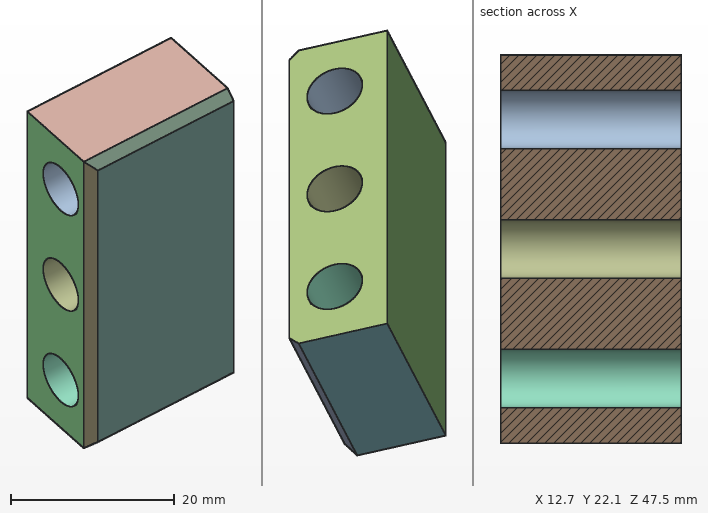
import cadquery as cq

width = 12.7
depth = 22.1
height = 47.5

bevel = 1.25

hole_diameter = 7.12
hole_count = 3
hole_pitch = height / hole_count
hole_from_left = 6.8


def make_block():
    """Block with its +X face bevelled at the top, bottom and -Y edges."""
    block = cq.Workplane("XY").box(width, depth, height)
    beveled_edges = block.faces(">X").edges(">Z or <Z or <Y")
    return beveled_edges.chamfer(bevel)


def drill_holes(block):
    """Drill a vertical row of holes from the -Y face to the +Y face."""
    hole_x = hole_from_left - width / 2
    return (
        block.faces("<Y")
        .workplane(origin=(hole_x, -depth / 2, 0))
        .rarray(0.48, hole_pitch, 1, hole_count)
        .hole(hole_diameter)
    )


result = drill_holes(make_block())